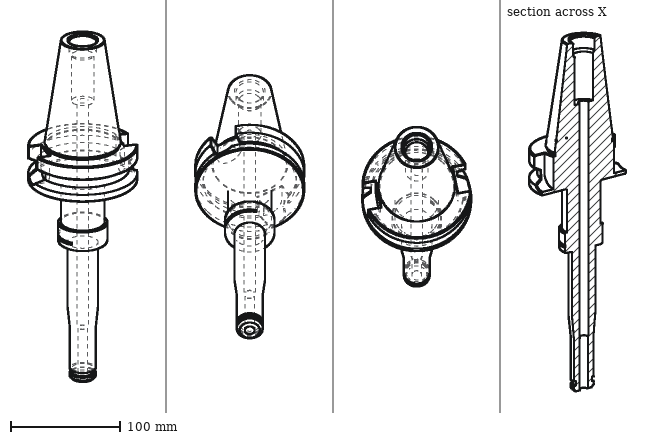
import cadquery as cq

LENGTH = 337.3

TOLERANCE = 0.005

TAPER_SLOPE = 7 / 24
TAPER_LENGTH = 102.0
TAPER_BASE_DIA = 69.8
TAPER_TIP_CHAMFER = 0.7
TAPER_TIP_DIA = TAPER_BASE_DIA - TAPER_SLOPE * TAPER_LENGTH
TAPER_BASE_Z = LENGTH - TAPER_LENGTH
RELIEF_DIA = 67.0
RELIEF_CONE_HEIGHT = 2.0

FLANGE_DIA = 100.0
FLANGE_TOP_Z = LENGTH - 105.0
FLANGE_HEIGHT = 35.0
FLANGE_BOTTOM_Z = FLANGE_TOP_Z - FLANGE_HEIGHT
FLANGE_CHAMFER = 1.0
GROOVE_FLOOR_DIA = 85.0
GROOVE_MOUTH_TOP_Z = FLANGE_TOP_Z - 12.0
GROOVE_MOUTH_BOTTOM_Z = FLANGE_TOP_Z - 27.5
GROOVE_WALL_DROP = 4.0

SLOT_WIDTH = 25.5
SLOT_LENGTH = 31.5
SLOT_FLOOR_Y = 36.0
SLOT_CHAMFER = 0.7

NECK_DIA = 40.0
NECK_FILLET = 1.7

COLLAR_DIA = 45.5
COLLAR_TOP_Z = FLANGE_TOP_Z - 76.5
COLLAR_HEIGHT = 20.2
COLLAR_BOTTOM_Z = COLLAR_TOP_Z - COLLAR_HEIGHT
COLLAR_CHAMFER = 0.7
COLLAR_FILLET = 3.0
MARK_WIDTH = 2.0
MARK_DEPTH = 0.7
MARK_ANGLE = 90
MARK_CENTER_Z = COLLAR_BOTTOM_Z + 7.0

SLEEVE_DIA = 28.0
TIP_DIA = 24.0
CONE_TOP_Z = 71.0
CONE_BOTTOM_Z = 50.5
TIP_BOTTOM_Z = 10.0
TIP_NECK_DIA = 19.5

HEAD_DIA = TIP_DIA
HEAD_HEIGHT = 6.0
HEAD_CHAMFER = 0.7
HEAD_END_CHAMFER = 2.7

MOUTH_DIA = 28.0
COUNTERBORE_DIA = 25.0
COUNTERBORE_DEPTH = 12.5
THREAD_DIA = 21.0
THREAD_DEPTH = 60.7
STEP_HEIGHT = 2.7
MOUTH_HEIGHT = (MOUTH_DIA - COUNTERBORE_DIA) / 2
COOLANT_DIA = 10.0
OUTLET_DIA = 9.0


def turned(points):
    """Solid of revolution about Z from (diameter, z) pairs, closed along the axis."""
    outline = [(0, points[0][1])]
    outline += [(dia / 2, z) for dia, z in points]
    outline.append((0, points[-1][1]))
    return cq.Workplane("XZ").polyline(outline).close().revolve(360, (0, 0), (0, 1))


def outer_body():
    return turned([
        (TAPER_TIP_DIA - 2 * TAPER_TIP_CHAMFER, LENGTH),
        (TAPER_TIP_DIA, LENGTH - TAPER_TIP_CHAMFER),
        (TAPER_BASE_DIA, TAPER_BASE_Z),
        (RELIEF_DIA, TAPER_BASE_Z - RELIEF_CONE_HEIGHT),
        (RELIEF_DIA, FLANGE_TOP_Z),
        (FLANGE_DIA - 2 * FLANGE_CHAMFER, FLANGE_TOP_Z),
        (FLANGE_DIA, FLANGE_TOP_Z - FLANGE_CHAMFER),
        (FLANGE_DIA, GROOVE_MOUTH_TOP_Z),
        (GROOVE_FLOOR_DIA, GROOVE_MOUTH_TOP_Z - GROOVE_WALL_DROP),
        (GROOVE_FLOOR_DIA, GROOVE_MOUTH_BOTTOM_Z + GROOVE_WALL_DROP),
        (FLANGE_DIA, GROOVE_MOUTH_BOTTOM_Z),
        (FLANGE_DIA, FLANGE_BOTTOM_Z + FLANGE_CHAMFER),
        (FLANGE_DIA - 2 * FLANGE_CHAMFER, FLANGE_BOTTOM_Z),
        (NECK_DIA, FLANGE_BOTTOM_Z),
        (NECK_DIA, COLLAR_TOP_Z),
        (COLLAR_DIA - 2 * COLLAR_CHAMFER, COLLAR_TOP_Z),
        (COLLAR_DIA, COLLAR_TOP_Z - COLLAR_CHAMFER),
        (COLLAR_DIA, COLLAR_BOTTOM_Z),
        (SLEEVE_DIA, COLLAR_BOTTOM_Z),
        (SLEEVE_DIA, CONE_TOP_Z),
        (TIP_DIA, CONE_BOTTOM_Z),
        (TIP_DIA, TIP_BOTTOM_Z),
        (TIP_NECK_DIA, TIP_BOTTOM_Z),
        (TIP_NECK_DIA, HEAD_HEIGHT),
        (HEAD_DIA - 2 * HEAD_CHAMFER, HEAD_HEIGHT),
        (HEAD_DIA, HEAD_HEIGHT - HEAD_CHAMFER),
        (HEAD_DIA, HEAD_END_CHAMFER),
        (HEAD_DIA - 2 * HEAD_END_CHAMFER, 0),
    ])


def bore():
    return turned([
        (MOUTH_DIA, LENGTH),
        (COUNTERBORE_DIA, LENGTH - MOUTH_HEIGHT),
        (COUNTERBORE_DIA, LENGTH - COUNTERBORE_DEPTH),
        (THREAD_DIA, LENGTH - COUNTERBORE_DEPTH - STEP_HEIGHT),
        (THREAD_DIA, LENGTH - THREAD_DEPTH),
        (COOLANT_DIA, LENGTH - THREAD_DEPTH),
        (COOLANT_DIA, CONE_BOTTOM_Z),
        (OUTLET_DIA, CONE_BOTTOM_Z),
        (OUTLET_DIA, 0),
    ])


def drive_slot():
    """Cutter for the slot on the -Y side: flat floor, round lower end."""
    radius = SLOT_WIDTH / 2
    round_center_z = FLANGE_TOP_Z - SLOT_LENGTH + radius
    return (
        cq.Workplane("XZ", origin=(0, -SLOT_FLOOR_Y, 0))
        .moveTo(-radius, FLANGE_TOP_Z)
        .lineTo(-radius, round_center_z)
        .threePointArc((0, round_center_z - radius), (radius, round_center_z))
        .lineTo(radius, FLANGE_TOP_Z)
        .close()
        .extrude(FLANGE_DIA / 2)
    )


def collar_mark():
    """Cutter for the shallow arc groove centred on the -Y side of the collar."""
    turn = MARK_ANGLE / 2 - 90
    return (
        cq.Workplane("XZ")
        .center(COLLAR_DIA / 2, MARK_CENTER_Z)
        .rect(2 * MARK_DEPTH, MARK_WIDTH)
        .revolve(MARK_ANGLE, (-COLLAR_DIA / 2, 0), (-COLLAR_DIA / 2, -1))
        .rotate((0, 0, 0), (0, 0, 1), turn)
    )


def is_slot_rim(edge):
    """True for the edges where a drive slot meets the outer surface of the flange."""
    center = edge.Center()
    in_slot = (
        abs(center.x) < SLOT_WIDTH / 2 + TOLERANCE
        and abs(center.y) > SLOT_FLOOR_Y - TOLERANCE
        and center.z > FLANGE_TOP_Z - SLOT_LENGTH - TOLERANCE
    )
    on_floor = abs(abs(center.y) - SLOT_FLOOR_Y) < TOLERANCE
    on_top = abs(center.z - FLANGE_TOP_Z) < TOLERANCE
    return in_slot and (on_top or not on_floor)


def fillet_ring(body, diameter, z, radius):
    """Round the circular edge of the given diameter at height z."""
    def is_ring(edge):
        if edge.geomType() != "CIRCLE":
            return False
        same_height = abs(edge.Center().z - z) < TOLERANCE
        same_diameter = abs(2 * edge.radius() - diameter) < TOLERANCE
        return same_height and same_diameter

    return body.edges().filter(is_ring).fillet(radius)


body = outer_body()
body = fillet_ring(body, NECK_DIA, FLANGE_BOTTOM_Z, NECK_FILLET)
body = fillet_ring(body, COLLAR_DIA, COLLAR_BOTTOM_Z, COLLAR_FILLET)
body = body.cut(bore()).cut(collar_mark())
for angle in (0, 180):
    body = body.cut(drive_slot().rotate((0, 0, 0), (0, 0, 1), angle))
result = body.edges().filter(is_slot_rim).chamfer(SLOT_CHAMFER)